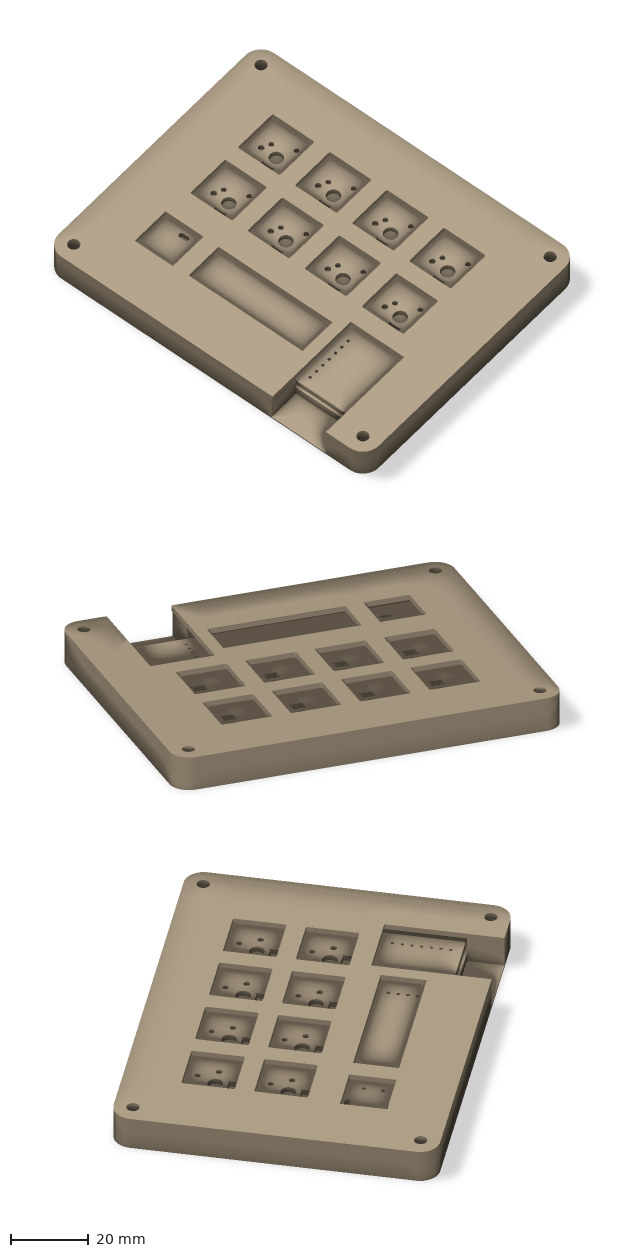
import cadquery as cq

LENGTH = 106.7
WIDTH = 85.3
HEIGHT = 9.3

PLATE_THICKNESS = 1.5
CASE_HEIGHT = HEIGHT - PLATE_THICKNESS
CAVITY_FLOOR_Z = 3.0
SLOT_FLOOR_Z = 0.5
PCB_THICKNESS = 1.6
PCB_BOTTOM_Z = CAVITY_FLOOR_Z
PCB_TOP_Z = PCB_BOTTOM_Z + PCB_THICKNESS

CORNER_RADIUS = 5.25
SCREW_INSET = 5.1
SCREW_DIAMETER = 3.4

WALL_THICKNESS = 9.85
PCB_CLEARANCE = 0.8
CAVITY_LENGTH = LENGTH - 2 * WALL_THICKNESS
CAVITY_WIDTH = WIDTH - 2 * WALL_THICKNESS
PCB_LENGTH = CAVITY_LENGTH - 2 * PCB_CLEARANCE
PCB_WIDTH = CAVITY_WIDTH - 2 * PCB_CLEARANCE

PLATE_SHIFT_X = -0.5
PLATE_SHIFT_Y = 0.5

KEY_PITCH = 19.05
KEY_COLUMNS = 4
KEY_ROWS = 2
KEY_GRID_X = 0.2
KEY_GRID_Y = 10.3
KEY_OPENING = 14.0
KEY_OPENING_RADIUS = 0.5

STEM_DIAMETER = 4.0
PEG_DIAMETER = 1.7
PEG_OFFSET = 5.08
PIN_DIAMETER = 1.5
PIN_POSITIONS = [(-3.81, 2.54), (2.54, 5.08)]

LIGHT_LENGTH = 3.4
LIGHT_WIDTH = 2.8
LIGHT_RELIEF_DIAMETER = 0.6
LIGHT_RELIEF_INSET = 0.15
LIGHT_OFFSET_X = -0.1
LIGHT_OFFSET_Y = -4.7
SHIFTED_LIGHT_OFFSET_X = 0.8
SHIFTED_LIGHT_OFFSET_Y = -4.4

ENCODER_OPENING_X = -30.6
ENCODER_Y = -20.5
ENCODER_OPENING_LENGTH = 12.7
ENCODER_OPENING_WIDTH = 12.3
ENCODER_CENTRE_X = -30.3
ENCODER_SLOT_OFFSET = 5.6
ENCODER_SLOT_LENGTH = 3.2
ENCODER_SLOT_WIDTH = 1.5
ENCODER_PIN_OFFSET_X = 7.0
ENCODER_PIN_OFFSET_Y = 2.5
ENCODER_PIN_DIAMETER = 1.0

HEADER_PITCH = 2.54

DISPLAY_X = -0.2
DISPLAY_Y = -20.4
DISPLAY_OPENING_LENGTH = 38.0
DISPLAY_OPENING_WIDTH = 12.0
DISPLAY_PIN_X = 17.8
DISPLAY_PIN_COUNT = 4
DISPLAY_PIN_DIAMETER = 1.0

CONTROLLER_OPENING_X = 31.2
CONTROLLER_OPENING_LENGTH = 17.8
CONTROLLER_OPENING_BACK_Y = -11.25
CONTROLLER_CENTRE_X = 31.1
CONTROLLER_PIN_Y = -21.3
CONTROLLER_PIN_COUNT = 7
CONTROLLER_PIN_DIAMETER = 0.89
CONTROLLER_ROW_SPACING = 15.24
CASE_SLOT_LENGTH = 18.2

FRONT_Y = -WIDTH / 2


def box(length, width, z_low, z_high, x=0, y=0):
    """Upright block centred on (x, y)."""
    blank = cq.Workplane("XY", origin=(x, y, z_low))
    return blank.rect(length, width).extrude(z_high - z_low)


def rounded_layer(z_low, z_high):
    """Full outline of the enclosure with its four screw holes."""
    layer = box(LENGTH, WIDTH, z_low, z_high).edges("|Z").fillet(CORNER_RADIUS)
    screws = (
        cq.Workplane("XY", origin=(0, 0, z_low))
        .rect(LENGTH - 2 * SCREW_INSET, WIDTH - 2 * SCREW_INSET, forConstruction=True)
        .vertices()
        .circle(SCREW_DIAMETER / 2)
        .extrude(z_high - z_low)
    )
    return layer.cut(screws)


def key_centres():
    """Switch centres on the board, row by row from the front left."""
    centres = []
    for row in range(KEY_ROWS):
        for column in range(KEY_COLUMNS):
            x = KEY_GRID_X + (column - (KEY_COLUMNS - 1) / 2) * KEY_PITCH
            y = KEY_GRID_Y + (row - (KEY_ROWS - 1) / 2) * KEY_PITCH
            centres.append((x, y))
    return centres


def header_column(x, centre_y, count):
    """Evenly pitched pin positions in a line along Y."""
    return [(x, centre_y + (i - (count - 1) / 2) * HEADER_PITCH) for i in range(count)]


def make_case():
    case = rounded_layer(0, CASE_HEIGHT)
    cavity = box(CAVITY_LENGTH, CAVITY_WIDTH, CAVITY_FLOOR_Z, CASE_HEIGHT)
    slot_y = FRONT_Y + WALL_THICKNESS / 2
    slot = box(
        CASE_SLOT_LENGTH, WALL_THICKNESS, SLOT_FLOOR_Z, CASE_HEIGHT, CONTROLLER_CENTRE_X, slot_y
    )
    return case.cut(cavity).cut(slot)


def board_holes(points, diameter):
    """Round cutters through the board."""
    blank = cq.Workplane("XY", origin=(0, 0, PCB_BOTTOM_Z))
    return blank.pushPoints(points).circle(diameter / 2).extrude(PCB_THICKNESS)


def light_window(x, y):
    """Rectangular cutter with a relief hole in each corner."""
    window = box(LIGHT_LENGTH, LIGHT_WIDTH, PCB_BOTTOM_Z, PCB_TOP_Z, x, y)
    relief_x = LIGHT_LENGTH / 2 - LIGHT_RELIEF_INSET
    relief_y = LIGHT_WIDTH / 2 - LIGHT_RELIEF_INSET
    corners = [(x + i * relief_x, y + j * relief_y) for i in (-1, 1) for j in (-1, 1)]
    return window.union(board_holes(corners, LIGHT_RELIEF_DIAMETER))


def cut_switch(board, x, y):
    """Stem, peg and pin holes of one switch."""
    pegs = [(x - PEG_OFFSET, y), (x + PEG_OFFSET, y)]
    pins = [(x + pin_x, y + pin_y) for pin_x, pin_y in PIN_POSITIONS]
    board = board.cut(board_holes([(x, y)], STEM_DIAMETER))
    board = board.cut(board_holes(pegs, PEG_DIAMETER))
    return board.cut(board_holes(pins, PIN_DIAMETER))


def make_board():
    board = box(PCB_LENGTH, PCB_WIDTH, PCB_BOTTOM_Z, PCB_TOP_Z)

    centres = key_centres()
    shifted_key = centres[KEY_COLUMNS - 1]
    for x, y in centres:
        board = cut_switch(board, x, y)
        if (x, y) == shifted_key:
            light = light_window(x + SHIFTED_LIGHT_OFFSET_X, y + SHIFTED_LIGHT_OFFSET_Y)
        else:
            light = light_window(x + LIGHT_OFFSET_X, y + LIGHT_OFFSET_Y)
        board = board.cut(light)

    encoder_slots = (
        cq.Workplane("XY", origin=(ENCODER_CENTRE_X, ENCODER_Y, PCB_BOTTOM_Z))
        .pushPoints([(0, -ENCODER_SLOT_OFFSET), (0, ENCODER_SLOT_OFFSET)])
        .slot2D(ENCODER_SLOT_LENGTH, ENCODER_SLOT_WIDTH)
        .extrude(PCB_THICKNESS)
    )
    board = board.cut(encoder_slots)

    encoder_pin_x = ENCODER_CENTRE_X + ENCODER_PIN_OFFSET_X
    encoder_pins = [(encoder_pin_x, ENCODER_Y + side * ENCODER_PIN_OFFSET_Y) for side in (-1, 1)]
    board = board.cut(board_holes(encoder_pins, ENCODER_PIN_DIAMETER))

    display_pins = header_column(DISPLAY_PIN_X, DISPLAY_Y, DISPLAY_PIN_COUNT)
    board = board.cut(board_holes(display_pins, DISPLAY_PIN_DIAMETER))

    for side in (-1, 1):
        row_x = CONTROLLER_CENTRE_X + side * CONTROLLER_ROW_SPACING / 2
        controller_pins = header_column(row_x, CONTROLLER_PIN_Y, CONTROLLER_PIN_COUNT)
        board = board.cut(board_holes(controller_pins, CONTROLLER_PIN_DIAMETER))
    return board


def plate_opening(length, width, x, y):
    """Rectangular cutter through the plate."""
    return box(length, width, CASE_HEIGHT, HEIGHT, x, y)


def make_plate():
    plate = rounded_layer(CASE_HEIGHT, HEIGHT)

    for x, y in key_centres():
        opening = plate_opening(KEY_OPENING, KEY_OPENING, x + PLATE_SHIFT_X, y + PLATE_SHIFT_Y)
        plate = plate.cut(opening.edges("|Z").fillet(KEY_OPENING_RADIUS))

    plate = plate.cut(
        plate_opening(ENCODER_OPENING_LENGTH, ENCODER_OPENING_WIDTH, ENCODER_OPENING_X, ENCODER_Y)
    )
    plate = plate.cut(
        plate_opening(DISPLAY_OPENING_LENGTH, DISPLAY_OPENING_WIDTH, DISPLAY_X, DISPLAY_Y)
    )

    controller_width = CONTROLLER_OPENING_BACK_Y - FRONT_Y
    controller_y = FRONT_Y + controller_width / 2
    return plate.cut(
        plate_opening(CONTROLLER_OPENING_LENGTH, controller_width, CONTROLLER_OPENING_X, controller_y)
    )


case = make_case()
board = make_board()
plate = make_plate()

result = cq.Compound.makeCompound([case.val(), board.val(), plate.val()])